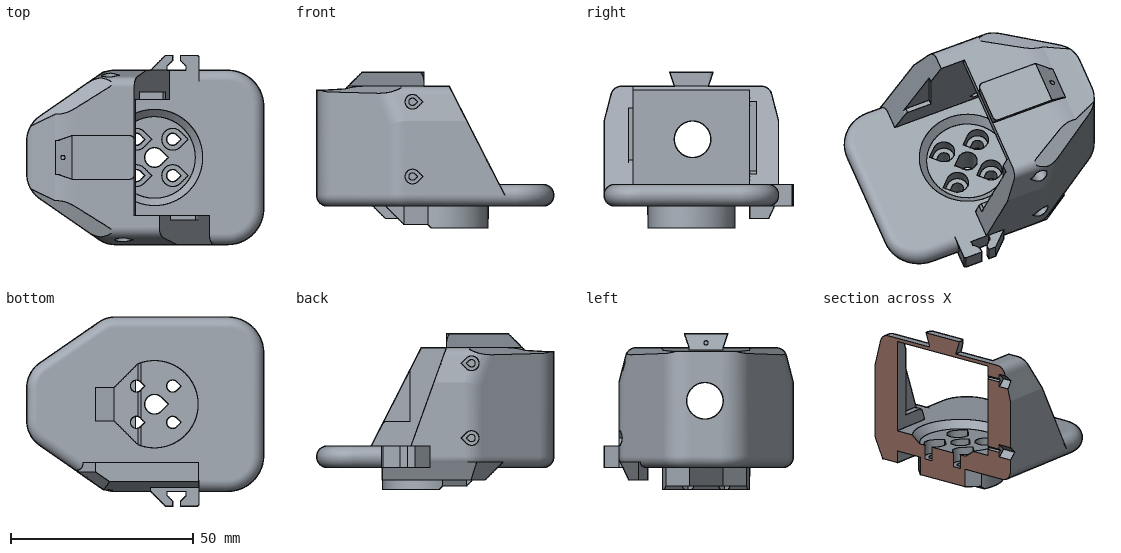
import cadquery as cq
import math

LENGTH = 65.2
HALF_WIDTH = 24.0
BODY_HEIGHT = 33.0
NOSE_HALF_WIDTH = 8.85
NOSE_TAPER_END = 21.9
NOSE_CORNER_RADIUS = 8.5
SHOULDER_RADIUS = 7.6
REAR_CORNER_RADIUS = 10.0
EDGE_RADIUS = 3.0
PLATE_TOP_RADIUS = 2.95
PLATE_THICKNESS = 2 * EDGE_RADIUS

LEAN_HEIGHT = 23.4
LEAN_INSET = 2.5

NOSE_STEP_DROP = 1.1
NOSE_STEP_LENGTH = 1.5
NOSE_CROWN_FRONT = 7.9
NOSE_CROWN_REAR = 13.35
NOSE_CROWN_RADIUS = 20.85
BEVEL_TOP_FRONT = (13.35, 13.5, BODY_HEIGHT)
BEVEL_TOP_REAR = (23.1, 19.55, BODY_HEIGHT)
BEVEL_SIDE_POINT = (16.7, 20.55, 31.0)

CAVITY_START = 20.0
CAVITY_HALF_WIDTH = 16.0
ROOF_THICKNESS = 1.1
RIGHT_WALL_TOP_END = 36.45
RIGHT_WALL_PLATE_END = 50.2
LEFT_WALL_TOP_END = 29.55
LEFT_WALL_PLATE_END = 39.25

LEFT_GROOVE_START = 31.05
LEFT_GROOVE_DEPTH = 1.95
LEFT_GROOVE_FLOOR_END = 37.5
RIGHT_GROOVE_START = 39.5
RIGHT_GROOVE_DEPTH = 1.25
RIGHT_GROOVE_FLOOR_END = 46.4
GROOVE_LIP = 0.7

ENTRY_DIAMETER = 10.0
ENTRY_Y = 0.3
ENTRY_Z = 18.4

RAIL_HEIGHT = 3.85
RAIL_TOP_HALF_WIDTH = 6.0
RAIL_ROOT_HALF_WIDTH = 4.7
RAIL_FRONT_TOP = 12.5
RAIL_CORNER_RADIUS = 1.2
RAIL_HOLE_DIAMETER = 1.2
RAIL_HOLE_DEPTH = 7.8
RAIL_HOLE_HEIGHT = 1.3

BOSS_X = 35.15
BOSS_RADIUS = 12.0
BOSS_DEPTH = 6.0
BOSS_STEP = 0.9
OCTAGON_INRADIUS = 11.1
POCKET_TOP_RADIUS = 13.25
POCKET_FLOOR_RADIUS = 11.2
POCKET_DEPTH = POCKET_TOP_RADIUS - POCKET_FLOOR_RADIUS
BOLT_PITCH = 10.0
BOLT_DIAMETER = 3.25
BOLT_HEAD_DIAMETER = 6.0
BOLT_HEAD_DEPTH = 4.0
CENTRE_HOLE_DIAMETER = 5.35

SCREW_DIAMETER = 2.0
SCREW_HEAD_DIAMETER = 4.05
SCREW_HEAD_DEPTH = 4.0
SCREW_HEIGHTS = (8.15, 28.7)
RIGHT_SCREW_X = 26.35
LEFT_SCREW_X = 22.6

CLIP_REACH = 4.05
CLIP_FRONT = 34.1
CLIP_REAR = 47.4
CLIP_CORNER = 0.4
SLOT_X = 41.2
SLOT_MOUTH_WIDTH = 2.0
SLOT_MOUTH_DEPTH = 1.4
SLOT_WIDTH = 5.15

LUG_DEPTH = 3.4
LUG_FRONT_BOTTOM = 18.9
LUG_FRONT_HALF_WIDTH = 18.6
LUG_TOP = 1.55
LUG_BOTTOM_HALF_WIDTH = 21.25
LUG_SIDE_TOP = 2.4
LUG_REAR = 47.2

OVER = 3.25

CORNER_MARGIN = 0.65


def prism_xz(points, y_from, y_to):
    """Extrude an X-Z outline from y_from to y_to."""
    outline = cq.Workplane("XZ", origin=(0, y_from, 0)).polyline(points).close()
    return outline.extrude(y_from - y_to)


def box_between(low, high):
    """Box with two opposite corners given."""
    size = [b - a for a, b in zip(low, high)]
    return cq.Workplane("XY", origin=low).box(*size, centered=False)


def teardrop(plane, diameter, depth):
    """Hole along the plane normal whose 45 degree point faces the plane's local X."""
    radius = diameter / 2
    tangent = radius / math.sqrt(2)
    return (
        cq.Workplane(plane)
        .moveTo(tangent, tangent)
        .threePointArc((-radius, 0), (tangent, -tangent))
        .lineTo(radius * math.sqrt(2), 0)
        .close()
        .extrude(depth)
    )


def side_profile(rounded):
    """Y-Z section of the body running the full length, with sharp or rounded top corners."""
    top_half_width = HALF_WIDTH - LEAN_INSET
    profile = (
        cq.Workplane("YZ")
        .polyline([
            (-HALF_WIDTH, 0),
            (HALF_WIDTH, 0),
            (HALF_WIDTH, LEAN_HEIGHT),
            (top_half_width, BODY_HEIGHT),
            (-top_half_width, BODY_HEIGHT),
            (-HALF_WIDTH, LEAN_HEIGHT),
        ])
        .close()
        .extrude(LENGTH)
    )
    if rounded:
        profile = profile.faces(">Z").edges("|X").fillet(EDGE_RADIUS)
    return profile


def edges_near(solid, x, y):
    """Edges of the solid that are not level, close to a plan position."""
    reach = LEAN_INSET + CORNER_MARGIN
    low = (x - reach, y - reach, -OVER)
    high = (x + reach, y + reach, BODY_HEIGHT + OVER)
    return solid.edges(cq.selectors.BoxSelector(low, high)).edges("not #Z")


def make_block():
    """Full-length solid body before hollowing."""
    plan = (
        cq.Workplane("XY")
        .polyline([
            (0, -NOSE_HALF_WIDTH),
            (NOSE_TAPER_END, -HALF_WIDTH),
            (LENGTH, -HALF_WIDTH),
            (LENGTH, HALF_WIDTH),
            (NOSE_TAPER_END, HALF_WIDTH),
            (0, NOSE_HALF_WIDTH),
        ])
        .close()
        .extrude(BODY_HEIGHT)
    )
    block = plan.intersect(side_profile(rounded=False))
    for side in (-1, 1):
        block = edges_near(block, 0, side * NOSE_HALF_WIDTH).fillet(NOSE_CORNER_RADIUS)
        block = edges_near(block, NOSE_TAPER_END, side * HALF_WIDTH).fillet(SHOULDER_RADIUS)
        block = edges_near(block, LENGTH, side * HALF_WIDTH).fillet(REAR_CORNER_RADIUS)
    block = block.faces("<Z").edges().fillet(EDGE_RADIUS)
    return block.intersect(side_profile(rounded=True))


def cut_nose_top(body):
    """Step the roof down at the nose and bevel it along both tapered sides."""
    crown_length = NOSE_CROWN_REAR - NOSE_CROWN_FRONT
    crown_angle = math.asin(crown_length / NOSE_CROWN_RADIUS)
    crown_drop = NOSE_CROWN_RADIUS * (1 - math.cos(crown_angle))
    half_drop = NOSE_CROWN_RADIUS * (1 - math.cos(crown_angle / 2))
    half_crown_x = NOSE_CROWN_REAR - NOSE_CROWN_RADIUS * math.sin(crown_angle / 2)
    step = (
        cq.Workplane("XZ", origin=(0, -HALF_WIDTH, 0))
        .moveTo(-OVER, BODY_HEIGHT - NOSE_STEP_DROP)
        .lineTo(NOSE_STEP_LENGTH, BODY_HEIGHT - NOSE_STEP_DROP)
        .lineTo(NOSE_CROWN_FRONT, BODY_HEIGHT - crown_drop)
        .threePointArc((half_crown_x, BODY_HEIGHT - half_drop), (NOSE_CROWN_REAR, BODY_HEIGHT))
        .lineTo(NOSE_CROWN_REAR, BODY_HEIGHT + OVER)
        .lineTo(-OVER, BODY_HEIGHT + OVER)
        .close()
        .extrude(-2 * HALF_WIDTH)
    )
    front = cq.Vector(*BEVEL_TOP_FRONT)
    along = cq.Vector(*BEVEL_TOP_REAR) - front
    across = cq.Vector(*BEVEL_SIDE_POINT) - front
    bevel_plane = cq.Plane(origin=front, xDir=along, normal=along.cross(across))
    bevel = cq.Workplane(bevel_plane).rect(LENGTH, LENGTH).extrude(LENGTH)
    return body.cut(step).cut(bevel).cut(bevel.mirror("XZ"))


def wall_end(top_x, plate_x, y_from, y_to):
    """Space beyond the sloping end of a wall; the slope is carried down to mid plate."""
    run_per_height = (plate_x - top_x) / (BODY_HEIGHT - PLATE_THICKNESS)
    low = EDGE_RADIUS
    high = BODY_HEIGHT + OVER
    low_x = plate_x + run_per_height * (PLATE_THICKNESS - low)
    high_x = top_x - run_per_height * OVER
    beyond = LENGTH + OVER
    return prism_xz([(high_x, high), (low_x, low), (beyond, low), (beyond, high)], y_from, y_to)


def groove(side, start_x, floor_end_x, depth, wall_top_x, wall_plate_x):
    """Groove in the inner face of a wall, open through the sloping wall end, with a bevelled lip."""
    run_per_height = (wall_plate_x - wall_top_x) / (BODY_HEIGHT - PLATE_THICKNESS)
    lip_x = floor_end_x + GROOVE_LIP
    lip_z = BODY_HEIGHT - (lip_x - wall_top_x) / run_per_height
    floor_z = lip_z + GROOVE_LIP
    top_z = BODY_HEIGHT - (start_x - wall_top_x) / run_per_height
    profile = [
        (start_x, floor_z),
        (floor_end_x, floor_z),
        (lip_x, lip_z),
        (lip_x, top_z),
        (start_x, top_z),
    ]
    inner_y = side * CAVITY_HALF_WIDTH
    return prism_xz(profile, inner_y, inner_y + side * depth)


def plate_top_edge():
    """Upper half of the plate behind the walls, with rounded rear corners and top edge."""
    outer = HALF_WIDTH + OVER
    plate = (
        box_between((LEFT_WALL_TOP_END, -HALF_WIDTH, 0), (LENGTH, HALF_WIDTH, PLATE_THICKNESS))
        .edges("|Z and >X")
        .fillet(REAR_CORNER_RADIUS)
        .faces(">Z")
        .edges("not <X")
        .fillet(PLATE_TOP_RADIUS)
    )
    upper_half = box_between((LEFT_WALL_TOP_END, -outer, EDGE_RADIUS), (LENGTH, outer, PLATE_THICKNESS))
    return plate.intersect(upper_half)


def make_shell(block):
    """Hollow body open to +X, with its wall ends, grooves and the full plate below."""
    inner = CAVITY_HALF_WIDTH
    outer = HALF_WIDTH + OVER
    cavity = box_between(
        (CAVITY_START, -inner, PLATE_THICKNESS),
        (LENGTH + OVER, inner, BODY_HEIGHT - ROOF_THICKNESS),
    )
    left_slope = (LEFT_WALL_TOP_END, LEFT_WALL_PLATE_END)
    right_slope = (RIGHT_WALL_TOP_END, RIGHT_WALL_PLATE_END)
    shell = (
        cut_nose_top(block)
        .cut(cavity)
        .cut(wall_end(*left_slope, -inner, outer))
        .cut(wall_end(*right_slope, -outer, -inner))
        .cut(groove(1, LEFT_GROOVE_START, LEFT_GROOVE_FLOOR_END, LEFT_GROOVE_DEPTH, *left_slope))
        .cut(groove(-1, RIGHT_GROOVE_START, RIGHT_GROOVE_FLOOR_END, RIGHT_GROOVE_DEPTH, *right_slope))
    )
    return shell.union(plate_top_edge())


def make_rail():
    """Dovetail rail on the roof with a 45 degree front and a small hole in it."""
    top_z = BODY_HEIGHT + RAIL_HEIGHT
    root_z = BODY_HEIGHT - ROOF_THICKNESS
    section = (
        cq.Workplane("YZ")
        .polyline([
            (-RAIL_ROOT_HALF_WIDTH, root_z),
            (RAIL_ROOT_HALF_WIDTH, root_z),
            (RAIL_ROOT_HALF_WIDTH, BODY_HEIGHT),
            (RAIL_TOP_HALF_WIDTH, top_z),
            (-RAIL_TOP_HALF_WIDTH, top_z),
            (-RAIL_ROOT_HALF_WIDTH, BODY_HEIGHT),
        ])
        .close()
        .extrude(LEFT_WALL_TOP_END)
    )
    side_shape = prism_xz(
        [
            (RAIL_FRONT_TOP, top_z),
            (RAIL_FRONT_TOP - (top_z - root_z), root_z),
            (LEFT_WALL_TOP_END, root_z),
            (LEFT_WALL_TOP_END, top_z),
        ],
        -RAIL_TOP_HALF_WIDTH,
        RAIL_TOP_HALF_WIDTH,
    )
    plan = (
        cq.Workplane("XY", origin=(0, 0, root_z))
        .rect(2 * LEFT_WALL_TOP_END, 2 * RAIL_TOP_HALF_WIDTH)
        .extrude(top_z - root_z)
        .edges("|Z")
        .fillet(RAIL_CORNER_RADIUS)
    )
    hole = (
        cq.Workplane("YZ", origin=(0, 0, BODY_HEIGHT + RAIL_HOLE_HEIGHT))
        .circle(RAIL_HOLE_DIAMETER / 2)
        .extrude(RAIL_FRONT_TOP + RAIL_HOLE_DEPTH)
    )
    return section.intersect(side_shape).intersect(plan).cut(hole)


def make_boss():
    """Round boss below the plate, octagonal and stepped up toward the nose, with a ramp ahead of it."""
    octagon_half_side = OCTAGON_INRADIUS * math.tan(math.pi / 8)
    front_x = BOSS_X - OCTAGON_INRADIUS
    octagon_end = BOSS_X - octagon_half_side
    step_depth = BOSS_DEPTH - BOSS_STEP
    cylinder = cq.Workplane("XY", origin=(BOSS_X, 0, 0)).circle(BOSS_RADIUS).extrude(-BOSS_DEPTH)
    cylinder = cylinder.cut(
        prism_xz(
            [
                (0, OVER),
                (octagon_end, OVER),
                (octagon_end, -step_depth),
                (octagon_end + BOSS_STEP, -BOSS_DEPTH),
                (0, -BOSS_DEPTH),
            ],
            -BOSS_RADIUS,
            BOSS_RADIUS,
        )
    )
    octagon = (
        cq.Workplane("XY")
        .polyline([
            (front_x, -octagon_half_side),
            (octagon_end, -OCTAGON_INRADIUS),
            (BOSS_X, -OCTAGON_INRADIUS),
            (BOSS_X, OCTAGON_INRADIUS),
            (octagon_end, OCTAGON_INRADIUS),
            (front_x, octagon_half_side),
        ])
        .close()
        .extrude(-step_depth)
    )
    ramp = prism_xz(
        [(front_x - step_depth, 0), (front_x, -step_depth), (front_x, 0)],
        -octagon_half_side,
        octagon_half_side,
    )
    return cylinder.union(octagon).union(ramp)


def boss_openings():
    """Conical pocket in the plate, the bolt holes under it and the hole in their centre."""
    floor_z = PLATE_THICKNESS - POCKET_DEPTH
    pocket = (
        cq.Workplane("XY", origin=(BOSS_X, 0, floor_z))
        .circle(POCKET_FLOOR_RADIUS)
        .workplane(offset=POCKET_DEPTH)
        .circle(POCKET_TOP_RADIUS)
        .loft()
    )

    def downward_hole(x, y, diameter, depth):
        plane = cq.Plane(origin=(x, y, floor_z), xDir=(1, 0, 0), normal=(0, 0, -1))
        return teardrop(plane, diameter, depth)

    through = floor_z + BOSS_DEPTH
    openings = pocket.union(downward_hole(BOSS_X, 0, CENTRE_HOLE_DIAMETER, through))
    for x in (BOSS_X - BOLT_PITCH / 2, BOSS_X + BOLT_PITCH / 2):
        for y in (-BOLT_PITCH / 2, BOLT_PITCH / 2):
            openings = openings.union(downward_hole(x, y, BOLT_HEAD_DIAMETER, BOLT_HEAD_DEPTH))
            openings = openings.union(downward_hole(x, y, BOLT_DIAMETER, through))
    return openings


def wall_screw_holes():
    """Counterbored teardrop holes through both side walls into the cavity."""
    wall = HALF_WIDTH - CAVITY_HALF_WIDTH
    holes = cq.Workplane("XY")
    for side, x in ((-1, RIGHT_SCREW_X), (1, LEFT_SCREW_X)):
        for z in SCREW_HEIGHTS:
            plane = cq.Plane(origin=(x, side * HALF_WIDTH, z), xDir=(1, 0, 0), normal=(0, -side, 0))
            holes = holes.add(teardrop(plane, SCREW_HEAD_DIAMETER, SCREW_HEAD_DEPTH))
            holes = holes.add(teardrop(plane, SCREW_DIAMETER, wall))
    return holes.combine()


def make_clip():
    """Square-edged clip on the +Y side of the plate with a keyhole slot open to +Y."""
    tip_y = HALF_WIDTH + CLIP_REACH
    root_y = HALF_WIDTH - EDGE_RADIUS
    body = (
        cq.Workplane("XY")
        .polyline([
            (CLIP_FRONT, root_y),
            (CLIP_REAR, root_y),
            (CLIP_REAR, tip_y - CLIP_CORNER),
            (CLIP_REAR - CLIP_CORNER, tip_y),
            (CLIP_FRONT + CLIP_REACH, tip_y),
            (CLIP_FRONT, HALF_WIDTH),
        ])
        .close()
        .extrude(PLATE_THICKNESS)
    )
    half_mouth = SLOT_MOUTH_WIDTH / 2
    half_slot = SLOT_WIDTH / 2
    shoulder_y = tip_y - SLOT_MOUTH_DEPTH
    chamber_y = shoulder_y - (half_slot - half_mouth)
    slot = (
        cq.Workplane("XY")
        .polyline([
            (SLOT_X - half_mouth, tip_y),
            (SLOT_X - half_mouth, shoulder_y),
            (SLOT_X - half_slot, chamber_y),
            (SLOT_X - half_slot, HALF_WIDTH),
            (SLOT_X + half_slot, HALF_WIDTH),
            (SLOT_X + half_slot, chamber_y),
            (SLOT_X + half_mouth, shoulder_y),
            (SLOT_X + half_mouth, tip_y),
        ])
        .close()
        .extrude(PLATE_THICKNESS)
    )
    return body.cut(slot)


def make_lug():
    """Lug under the +Y wall with a leaning outer side; its tapered front leans out at 45 degrees."""
    section = (
        cq.Workplane("YZ")
        .polyline([
            (CAVITY_HALF_WIDTH, EDGE_RADIUS),
            (CAVITY_HALF_WIDTH, -LUG_DEPTH),
            (LUG_BOTTOM_HALF_WIDTH, -LUG_DEPTH),
            (HALF_WIDTH, LUG_SIDE_TOP),
            (HALF_WIDTH, EDGE_RADIUS),
        ])
        .close()
        .extrude(LUG_REAR)
    )
    taper_slope = (HALF_WIDTH - NOSE_HALF_WIDTH) / NOSE_TAPER_END
    taper_end = LUG_FRONT_BOTTOM + (HALF_WIDTH - LUG_FRONT_HALF_WIDTH) / taper_slope
    sweep = LUG_DEPTH + LUG_TOP
    bottom_outline = cq.Wire.makePolygon(
        [
            cq.Vector(LUG_FRONT_BOTTOM, CAVITY_HALF_WIDTH, -LUG_DEPTH),
            cq.Vector(LUG_FRONT_BOTTOM, LUG_FRONT_HALF_WIDTH, -LUG_DEPTH),
            cq.Vector(taper_end, HALF_WIDTH, -LUG_DEPTH),
            cq.Vector(LUG_REAR + sweep, HALF_WIDTH, -LUG_DEPTH),
            cq.Vector(LUG_REAR + sweep, CAVITY_HALF_WIDTH, -LUG_DEPTH),
        ],
        close=True,
    )
    leaning_block = cq.Solid.extrudeLinear(bottom_outline, [], cq.Vector(-sweep, 0, sweep))
    return section.intersect(cq.Workplane(leaning_block))


cable_entry = (
    cq.Workplane("YZ", origin=(0, ENTRY_Y, ENTRY_Z))
    .circle(ENTRY_DIAMETER / 2)
    .extrude(CAVITY_START)
)

result = (
    make_shell(make_block())
    .union(make_rail())
    .union(make_boss())
    .union(make_lug())
    .union(make_clip())
    .cut(boss_openings())
    .cut(wall_screw_holes())
    .cut(cable_entry)
)